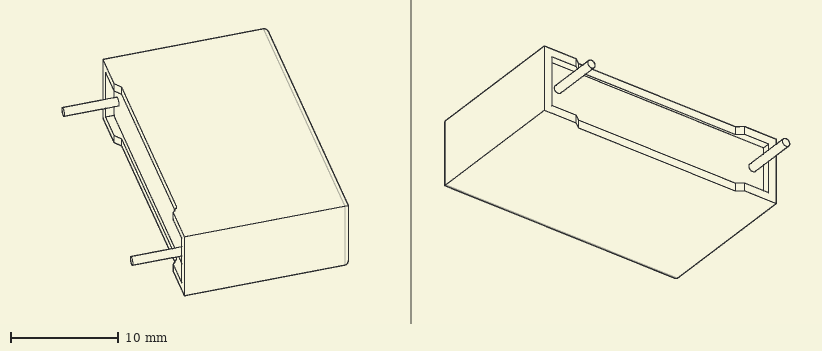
import cadquery as cq

case_width = 26.8
case_depth = 16.1
case_height = 7.2
back_edge_radius = 0.48
side_wall = 0.88
face_wall = 0.88
back_wall = 0.88

relief_depth = 0.54
relief_mouth_width = 19.45
relief_floor_width = 18.1

potting_recess = 0.8
cavity_width = case_width - 2 * side_wall
cavity_height = case_height - 2 * face_wall
potting_depth = case_depth - back_wall - potting_recess

lead_diameter = 0.85
lead_pitch = 22.49
lead_protrusion = 4.5
lead_embedment = 1.6
lead_positions = [-lead_pitch / 2, lead_pitch / 2]


def block(width, height, y_start, depth):
    """Box centred on X and Z that runs from y_start towards +Y."""
    return cq.Workplane("XY").box(width, depth, height).translate((0, y_start + depth / 2, 0))


def make_rim_relief():
    """Trapezoidal prism through both large faces of the case."""
    return (
        cq.Workplane("XY")
        .polyline([
            (-relief_mouth_width / 2, 0),
            (-relief_floor_width / 2, relief_depth),
            (relief_floor_width / 2, relief_depth),
            (relief_mouth_width / 2, 0),
        ])
        .close()
        .extrude(case_height / 2, both=True)
    )


def make_case():
    shell = block(case_width, case_height, 0, case_depth)
    shell = shell.faces(">Y").edges().fillet(back_edge_radius)
    cavity = block(cavity_width, cavity_height, 0, case_depth - back_wall)
    return shell.cut(cavity).cut(make_rim_relief())


def make_lead(x):
    """Round wire from its free tip to its embedded end."""
    length = lead_protrusion + potting_recess + lead_embedment
    tip = cq.Vector(x, -lead_protrusion, 0)
    return cq.Workplane(cq.Solid.makeCylinder(lead_diameter / 2, length, tip, cq.Vector(0, 1, 0)))


def make_potting(leads):
    potting = block(cavity_width, cavity_height, potting_recess, potting_depth)
    for lead in leads:
        potting = potting.cut(lead)
    return potting


case = make_case()
leads = [make_lead(x) for x in lead_positions]
potting = make_potting(leads)

result = cq.Compound.makeCompound([case.val(), potting.val(), *[lead.val() for lead in leads]])